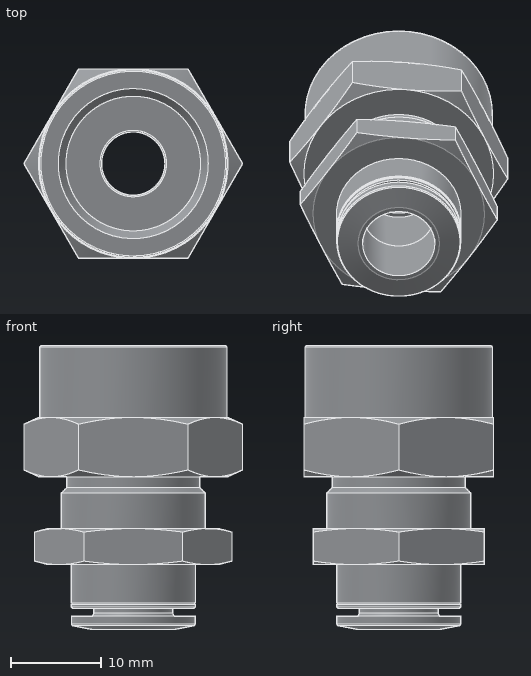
import cadquery as cq
import math

TOTAL_HEIGHT = 31.5
LARGE_HEX_TOP = 23.53
LARGE_HEX_BOTTOM = 16.95
NECK_BOTTOM = 15.75
SMALL_HEX_TOP = 11.2
SMALL_HEX_BOTTOM = 7.2
HOUSING_BOTTOM = 2.33
FLANGE_TOP = 1.5

SOCKET_DIAMETER = 20.8
SOCKET_EDGE_CHAMFER = 0.15
LARGE_HEX_FLATS = 21.0
LARGE_HEX_CHAMFER_ANGLE = 25.0
NECK_DIAMETER = 14.77
BODY_DIAMETER = 16.0
SMALL_HEX_FLATS = 19.0
SMALL_HEX_CHAMFER_ANGLE = 15.0
TAIL_DIAMETER = 13.8
TAIL_EDGE_CHAMFER = 0.2
GROOVE_TOP = 2.95
GROOVE_WIDTH = 0.2
GROOVE_DEPTH = 0.1

SOCKET_BORE = 14.93
SOCKET_MOUTH = 16.63
SOCKET_FLOOR = 18.9
FLOW_BORE = 7.0
FLOW_BORE_CHAMFER = 0.2
TUBE_BORE = 8.0
TUBE_STOP = 14.18
SLEEVE_TOP = SMALL_HEX_BOTTOM

SLEEVE_DIAMETER = 8.8
FLANGE_DIAMETER = 13.75
FLANGE_FACE_DIAMETER = 9.0
FLANGE_CONE_TOP = 0.45
FLANGE_EDGE_TOP = 0.63
FLANGE_EDGE_INSET = 0.1
FLANGE_ROOT_WIDTH = 0.13
FLANGE_ROOT_HEIGHT = 0.3


def cylinder(diameter, bottom, top):
    return cq.Workplane("XY").workplane(offset=bottom).circle(diameter / 2).extrude(top - bottom)


def revolved(points):
    """Turn a closed (radius, height) outline around the Z axis."""
    return cq.Workplane("XZ").polyline(points).close().revolve(360, (0, 0), (0, 1))


def chamfered_hex(flats, bottom, top, angle):
    """Hexagon with corners on the X axis, its end faces turned down to conical corners."""
    face_radius = flats / 2
    corner_radius = flats / math.sqrt(3)
    drop = (corner_radius - face_radius) * math.tan(math.radians(angle))
    prism = cq.Workplane("XY").workplane(offset=bottom).polygon(6, 2 * corner_radius).extrude(top - bottom)
    envelope = revolved([
        (0, bottom),
        (face_radius, bottom),
        (corner_radius, bottom + drop),
        (corner_radius, top - drop),
        (face_radius, top),
        (0, top),
    ])
    return prism.intersect(envelope)


def housing_exterior():
    socket = cylinder(SOCKET_DIAMETER, LARGE_HEX_TOP, TOTAL_HEIGHT).faces(">Z").chamfer(SOCKET_EDGE_CHAMFER)
    large_hex = chamfered_hex(LARGE_HEX_FLATS, LARGE_HEX_BOTTOM, LARGE_HEX_TOP, LARGE_HEX_CHAMFER_ANGLE)
    neck = cylinder(NECK_DIAMETER, NECK_BOTTOM, LARGE_HEX_BOTTOM)
    body = cylinder(BODY_DIAMETER, SMALL_HEX_TOP, NECK_BOTTOM)
    body = body.faces(">Z").chamfer((BODY_DIAMETER - NECK_DIAMETER) / 2)
    small_hex = chamfered_hex(SMALL_HEX_FLATS, SMALL_HEX_BOTTOM, SMALL_HEX_TOP, SMALL_HEX_CHAMFER_ANGLE)
    tail = cylinder(TAIL_DIAMETER, HOUSING_BOTTOM, SMALL_HEX_BOTTOM).faces("<Z").chamfer(TAIL_EDGE_CHAMFER)
    return socket.union(large_hex).union(neck).union(body).union(small_hex).union(tail)


def tail_groove():
    outer = cylinder(TAIL_DIAMETER, GROOVE_TOP - GROOVE_WIDTH, GROOVE_TOP)
    core = cylinder(TAIL_DIAMETER - 2 * GROOVE_DEPTH, GROOVE_TOP - GROOVE_WIDTH, GROOVE_TOP)
    return outer.cut(core)


def housing_cavity():
    """Stepped bore: threaded-side socket, flow bore, tube seat and sleeve seat."""
    flow_radius = FLOW_BORE / 2
    mouth_chamfer = (SOCKET_MOUTH - SOCKET_BORE) / 2
    return revolved([
        (0, HOUSING_BOTTOM),
        (SLEEVE_DIAMETER / 2, HOUSING_BOTTOM),
        (SLEEVE_DIAMETER / 2, SLEEVE_TOP),
        (TUBE_BORE / 2, SLEEVE_TOP),
        (TUBE_BORE / 2, TUBE_STOP),
        (flow_radius, TUBE_STOP),
        (flow_radius, SOCKET_FLOOR - FLOW_BORE_CHAMFER),
        (flow_radius + FLOW_BORE_CHAMFER, SOCKET_FLOOR),
        (SOCKET_BORE / 2, SOCKET_FLOOR),
        (SOCKET_BORE / 2, TOTAL_HEIGHT - mouth_chamfer),
        (SOCKET_MOUTH / 2, TOTAL_HEIGHT),
        (0, TOTAL_HEIGHT),
    ])


def make_housing():
    return housing_exterior().cut(tail_groove()).cut(housing_cavity())


def make_release_sleeve():
    """Tubular sleeve with a push flange, coned underneath and at its root."""
    flange_radius = FLANGE_DIAMETER / 2
    sleeve_radius = SLEEVE_DIAMETER / 2
    return revolved([
        (TUBE_BORE / 2, 0),
        (FLANGE_FACE_DIAMETER / 2, 0),
        (flange_radius - FLANGE_EDGE_INSET, FLANGE_CONE_TOP),
        (flange_radius, FLANGE_EDGE_TOP),
        (flange_radius, FLANGE_TOP),
        (sleeve_radius + FLANGE_ROOT_WIDTH, FLANGE_TOP),
        (sleeve_radius, FLANGE_TOP + FLANGE_ROOT_HEIGHT),
        (sleeve_radius, SLEEVE_TOP),
        (TUBE_BORE / 2, SLEEVE_TOP),
    ])


housing = make_housing()
release_sleeve = make_release_sleeve()

result = cq.Compound.makeCompound([housing.val(), release_sleeve.val()])